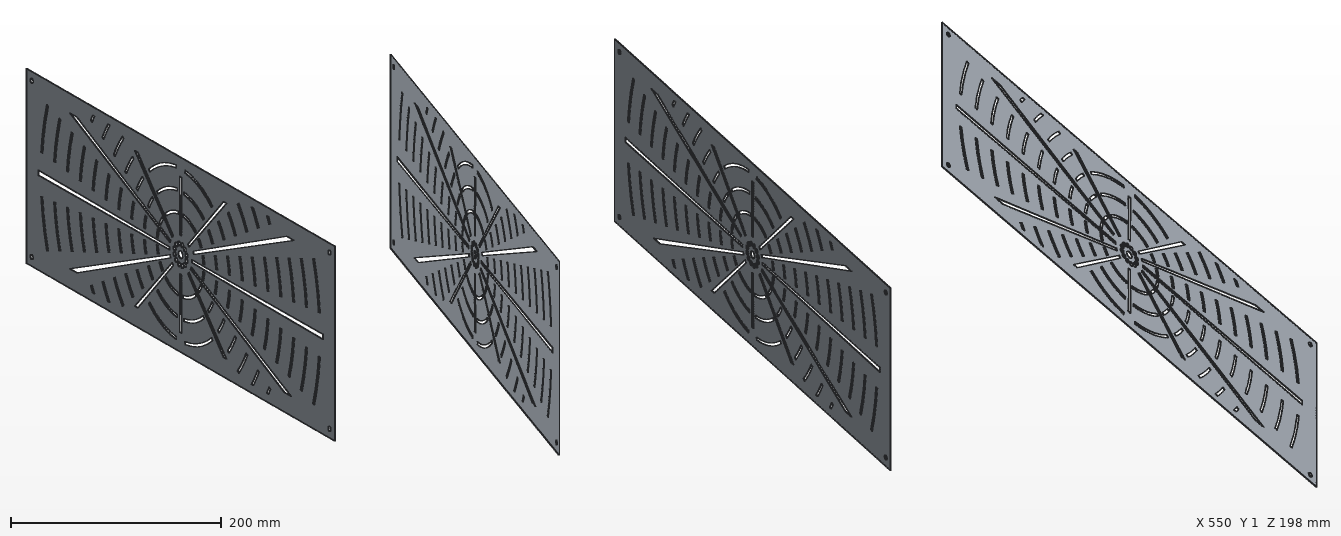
import cadquery as cq
import math

length = 550.0
height = 198.0
thickness = 1.0

corner_hole_diameter = 5.0
corner_hole_margin = 9.5
centre_hole_diameter = 7.5

hub_hole_diameter = 4.75
hub_circle_radius = 11.0
hub_hole_count = 12

spoke_angles = (0.0, 22.5, 45.0, 90.0, 135.0, 157.5, 180.0, 202.5, 225.0, 270.0, 315.0, 337.5)
spoke_start_radius = 20.0
spoke_start_width = 2.95
spoke_end_width = 5.2
spoke_margin_x = 21.0
spoke_margin_z = 20.0
spoke_limit_x = length / 2 - spoke_margin_x
spoke_limit_z = height / 2 - spoke_margin_z
spoke_growth = (spoke_end_width - spoke_start_width) / (spoke_limit_x - spoke_start_radius)
shifted_spoke_angle = 22.5
spoke_shift = 5.0

arc_slot_width = 2.95
first_ring_inner_radius = 40.0
last_ring_radius = 248.5
ring_total = 10
first_ring_radius = first_ring_inner_radius + arc_slot_width / 2
ring_pitch = (last_ring_radius - first_ring_radius) / (ring_total - 1)
spoke_clearance_angle = 5.2
arc_margin = 9.0
arc_limit_z = height / 2 - arc_margin
quadrant_sectors = (
    (0.0, 22.5, ring_total),
    (22.5, 45.0, 8),
    (45.0, 90.0, 3),
)


def plane():
    """Workplane on the middle of the plate: local x is X, local y is Z."""
    return cq.Workplane("XZ")


def polar(radius, angle):
    """Point at the given radius and angle in degrees around the plate centre."""
    return (radius * math.cos(math.radians(angle)), radius * math.sin(math.radians(angle)))


def cutter(outline):
    """Solid from a closed outline, through the whole plate."""
    return outline.extrude(thickness, both=True)


def limit_box(half_x, half_z):
    """Block that trims cutters to a centred rectangle."""
    return cutter(plane().rect(2 * half_x, 2 * half_z))


def arc_slot(radius, width, start_angle, end_angle):
    """Curved slot with radial ends, centred on the given radius."""
    inner = radius - width / 2
    outer = radius + width / 2
    middle_angle = (start_angle + end_angle) / 2
    outline = (
        plane()
        .moveTo(*polar(inner, start_angle))
        .lineTo(*polar(outer, start_angle))
        .threePointArc(polar(outer, middle_angle), polar(outer, end_angle))
        .lineTo(*polar(inner, end_angle))
        .threePointArc(polar(inner, middle_angle), polar(inner, start_angle))
        .close()
    )
    return cutter(outline)


def spoke(angle):
    """Tapered slot pointing away from the centre, trimmed at the limiting rectangle."""
    end_radius = length / 2
    start_half = spoke_start_width / 2
    end_half = start_half + spoke_growth * (end_radius - spoke_start_radius) / 2
    outline = (
        plane()
        .moveTo(spoke_start_radius, -start_half)
        .lineTo(end_radius, -end_half)
        .lineTo(end_radius, end_half)
        .lineTo(spoke_start_radius, start_half)
        .close()
    )
    blank = cutter(outline).rotate((0, 0, 0), (0, -1, 0), angle)
    trimmed = blank.intersect(limit_box(spoke_limit_x, spoke_limit_z))
    if angle == shifted_spoke_angle:
        shift_x, shift_z = polar(spoke_shift, angle)
        trimmed = trimmed.translate((shift_x, 0, shift_z))
    return trimmed


def quadrant_arc_slots():
    """Arc slots of the +X +Z quadrant, trimmed near the long edge."""
    limit = limit_box(length / 2, arc_limit_z)
    slots = []
    for start_spoke, end_spoke, ring_count in quadrant_sectors:
        start_angle = start_spoke + spoke_clearance_angle
        end_angle = end_spoke - spoke_clearance_angle
        for ring in range(ring_count):
            radius = first_ring_radius + ring * ring_pitch
            slots.append(arc_slot(radius, arc_slot_width, start_angle, end_angle).intersect(limit))
    return slots


def hub_holes():
    """Ring of small holes, with a bridge between two holes on each main axis."""
    pitch_angle = 360.0 / hub_hole_count
    holes = []
    for index in range(hub_hole_count):
        centre = polar(hub_circle_radius, (index + 0.5) * pitch_angle)
        holes.append(cutter(plane().center(*centre).circle(hub_hole_diameter / 2)))
    return holes


def web_slots():
    """All straight and curved slots of the web."""
    slots = []
    for angle in spoke_angles:
        slots.append(spoke(angle))
    for slot in quadrant_arc_slots():
        left = slot.mirror("YZ")
        slots.extend((slot, left, slot.mirror("XY"), left.mirror("XY")))
    return slots


plate = cq.Workplane("XY").box(length, thickness, height)
centre_hole = cutter(plane().circle(centre_hole_diameter / 2))
corner_holes = cutter(
    plane()
    .rect(length - 2 * corner_hole_margin, height - 2 * corner_hole_margin, forConstruction=True)
    .vertices()
    .circle(corner_hole_diameter / 2)
)

openings = cq.Compound.makeCompound([opening.val() for opening in hub_holes() + web_slots()])

result = plate.cut(centre_hole).cut(corner_holes).cut(openings)